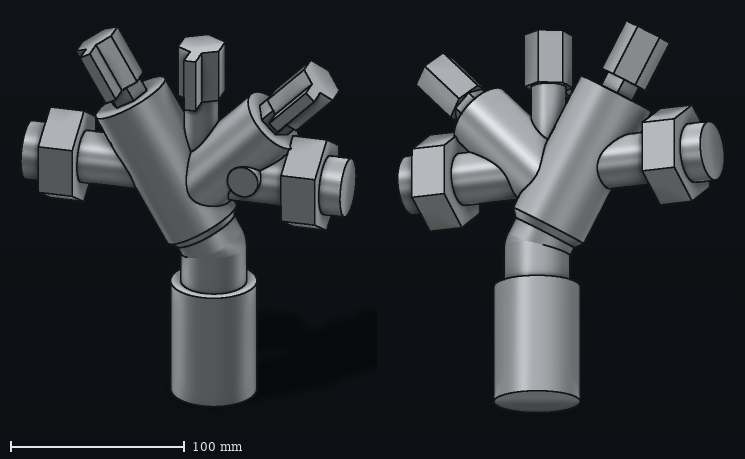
import cadquery as cq
import math


total_height = 218.9

pipe_length = 191.0
pipe_radius = 15.0
stub_length = 12.7
stub_radius = 17.0
nut_thickness = 20.4
nut_flats = 50.0

elbow_x = 15.0
elbow_z = -46.0
neck_radius = 19.0
neck_length = 22.8
sleeve_radius = nut_flats / 2

main_tilt = -30
main_radius = 23.0
main_length = 85.5
throat_length = 9.8
cone_length = 4.5
main_spindle_length = 9.0

side_tilt = 45
side_radius = 20.0
side_root_x = -2.0
side_root_z = -15.8
side_length = 74.6
side_spindle_length = 10.0

stem_x = 7.9
stem_radius = 10.0
stem_top_z = 48.8

spindle_flats = 20.1
handle_flats = 24.5
handle_length = 31.0
lever_thickness = 7.0
lever_reach = nut_flats / 2

main_axis_length = throat_length + cone_length + main_length + main_spindle_length + handle_length
main_tilt_angle = math.radians(abs(main_tilt))
main_handle_rise = main_axis_length * math.cos(main_tilt_angle) + handle_flats / 2 * math.sin(main_tilt_angle)
sleeve_length = total_height - main_handle_rise - neck_length

boss_x = 38.0
boss_z = 5.0
boss_radius = 9.2
boss_reach = side_radius


def tilted_plane(x, z, tilt):
    """Plane in which local x is +Y and the normal leans from +Z toward +X by tilt degrees."""
    angle = math.radians(tilt)
    return cq.Plane(origin=(x, 0, z), xDir=(0, 1, 0), normal=(math.sin(angle), 0, math.cos(angle)))


def hexagon_diameter(flats):
    """Corner-to-corner size of a hexagon given its size across flats."""
    return flats / math.cos(math.pi / 6)


def cylinder(plane, start, radius, length):
    return cq.Workplane(plane).workplane(offset=start).circle(radius).extrude(length)


def make_pipe():
    end_plane = cq.Plane(origin=(-pipe_length / 2, 0, 0), xDir=(0, 0, 1), normal=(1, 0, 0))
    pipe = cylinder(end_plane, 0, pipe_radius, pipe_length)
    for nut_start, stub_start in (
        (stub_length, 0),
        (pipe_length - stub_length - nut_thickness, pipe_length - stub_length),
    ):
        nut = cq.Workplane(end_plane).workplane(offset=nut_start)
        nut = nut.polygon(6, hexagon_diameter(nut_flats)).extrude(nut_thickness)
        pipe = pipe.union(nut).union(cylinder(end_plane, stub_start, stub_radius, stub_length))
    return pipe


def make_outlet():
    plane = tilted_plane(elbow_x, elbow_z, 0)
    neck = cylinder(plane, 0, neck_radius, -neck_length)
    sleeve = cylinder(plane, -neck_length, sleeve_radius, -sleeve_length)
    elbow = cq.Workplane(plane).sphere(neck_radius)
    return neck.union(sleeve).union(elbow)


def make_handle(plane, start):
    base = cq.Workplane(plane).workplane(offset=start)
    grip = base.polygon(6, hexagon_diameter(handle_flats)).extrude(handle_length)
    lever = base.center(-lever_reach / 2, 0).rect(lever_reach, lever_thickness).extrude(handle_length)
    return grip.union(lever)


def make_spindle_and_handle(plane, start, spindle_length):
    """Spindle hexagon has corners in the XZ plane; the handle above it has corners toward +/-Y."""
    spindle = cq.Workplane(plane).workplane(offset=start).transformed(rotate=(0, 0, 90))
    spindle = spindle.polygon(6, hexagon_diameter(spindle_flats)).extrude(spindle_length)
    return spindle.union(make_handle(plane, start + spindle_length))


def make_main_barrel():
    """Throat, cone and barrel stacked along the tilted axis, topped by a spindle and handle."""
    plane = tilted_plane(elbow_x, elbow_z, main_tilt)
    barrel_start = throat_length + cone_length
    barrel_end = barrel_start + main_length
    throat = cylinder(plane, 0, neck_radius, throat_length)
    cone = cq.Workplane(plane).workplane(offset=throat_length).circle(neck_radius)
    cone = cone.workplane(offset=cone_length).circle(main_radius).loft()
    barrel = cylinder(plane, barrel_start, main_radius, main_length)
    handle = make_spindle_and_handle(plane, barrel_end, main_spindle_length)
    return throat.union(cone).union(barrel).union(handle)


def make_side_barrel():
    plane = tilted_plane(side_root_x, side_root_z, side_tilt)
    barrel = cylinder(plane, 0, side_radius, side_length)
    return barrel.union(make_spindle_and_handle(plane, side_length, side_spindle_length))


def make_stem():
    plane = tilted_plane(stem_x, 0, 0)
    return cylinder(plane, 0, stem_radius, stem_top_z).union(make_handle(plane, stem_top_z))


def make_boss():
    front_plane = cq.Plane(origin=(boss_x, 0, boss_z), xDir=(1, 0, 0), normal=(0, -1, 0))
    return cylinder(front_plane, 0, boss_radius, boss_reach)


result = make_pipe()
for branch in (make_outlet(), make_main_barrel(), make_side_barrel(), make_stem(), make_boss()):
    result = result.union(branch)